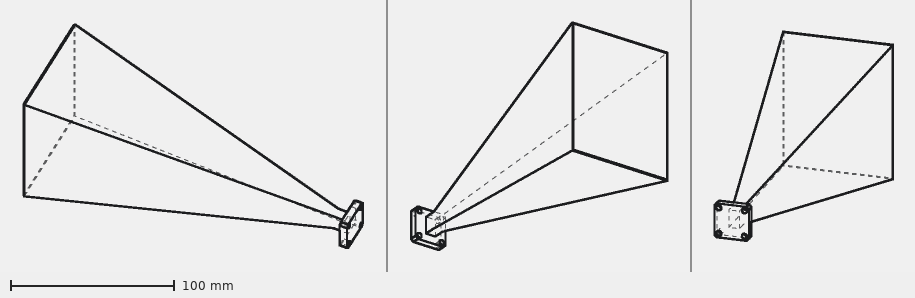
import cadquery as cq
length = 208.3

mouth_width = 70.8
mouth_height = 88.0
window_inset = 0.5
window_thickness = 0.6

neck_width = 6.9
neck_height = 11.5
neck_length = 8.0

flange_size = 22.3
flange_thickness = 5.0
corner_chamfer = 1.7
hole_spacing_y = 16.5
hole_spacing_z = 16.7
hole_diameter = 3.1

flange_x = length - flange_thickness
neck_x = flange_x - neck_length


def section_at(x):
    """Workplane across the horn axis: local x is Y and local y is Z."""
    return cq.Workplane("YZ", origin=(x, 0, 0))


def make_horn():
    return (
        section_at(window_thickness)
        .rect(mouth_width, mouth_height)
        .workplane(offset=neck_x - window_thickness)
        .rect(neck_width, neck_height)
        .loft(ruled=True)
    )


def make_window():
    return (
        section_at(0)
        .rect(mouth_width - 2 * window_inset, mouth_height - 2 * window_inset)
        .extrude(window_thickness)
    )


def make_neck():
    return section_at(neck_x).rect(neck_width, neck_height).extrude(neck_length)


def make_flange():
    plate = (
        section_at(flange_x)
        .rect(flange_size, flange_size)
        .extrude(flange_thickness)
        .edges("|X")
        .chamfer(corner_chamfer)
    )
    holes = (
        section_at(flange_x)
        .rect(hole_spacing_y, hole_spacing_z, forConstruction=True)
        .vertices()
        .circle(hole_diameter / 2)
        .extrude(flange_thickness)
    )
    return plate.cut(holes)


result = make_horn().union(make_window()).union(make_neck()).union(make_flange())